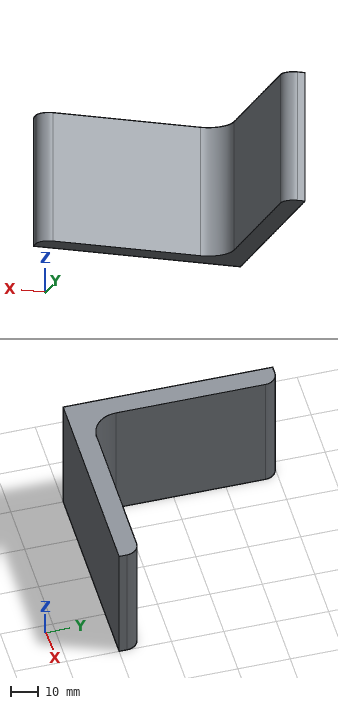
import cadquery as cq

leg_length = 80.0
leg_thickness = 8.0
bar_length = 50.0
root_radius = 10.0
toe_radius = root_radius / 2

angle = (
    cq.Workplane("XY")
    .moveTo(0, 0)
    .lineTo(leg_length, 0)
    .lineTo(leg_length, leg_thickness)
    .lineTo(leg_thickness, leg_thickness)
    .lineTo(leg_thickness, leg_length)
    .lineTo(0, leg_length)
    .close()
    .extrude(bar_length)
)


def round_upright_edge(body, x, y, radius):
    """Round the full-height edge standing at (x, y)."""
    edge = cq.selectors.NearestToPointSelector((x, y, bar_length / 2))
    return body.edges("|Z").edges(edge).fillet(radius)


angle = round_upright_edge(angle, leg_thickness, leg_thickness, root_radius)
angle = round_upright_edge(angle, leg_length, leg_thickness, toe_radius)
angle = round_upright_edge(angle, leg_thickness, leg_length, toe_radius)

result = angle